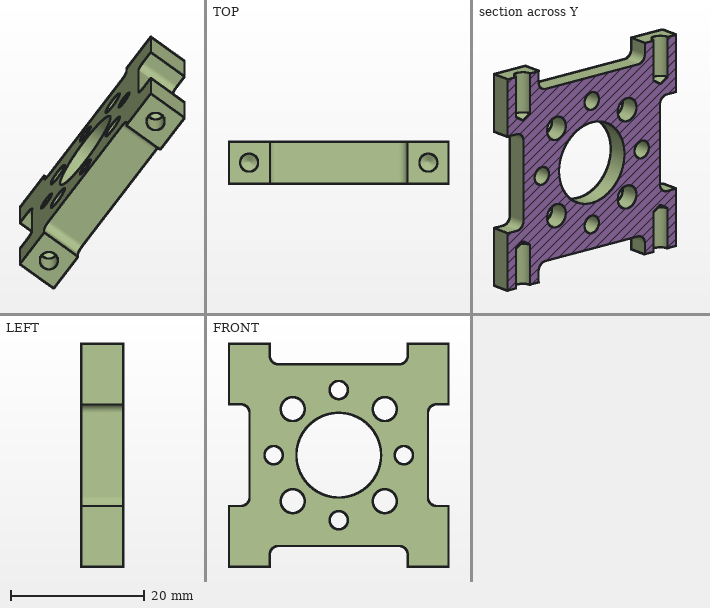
import cadquery as cq
import math

width = 33.02
thickness = 6.35
height = 33.53

recess_depth = 3.1
end_recess_length = 20.7
side_recess_length = 15.24
recess_fillet = 1.27

bore_diameter = 12.7
bolt_circle_radius = 9.78
small_hole_diameter = 2.71
large_hole_diameter = 3.57
holes_per_set = 4

leg_hole_diameter = 2.71
leg_hole_spacing = 26.92
leg_hole_depth = 6.35
drill_point_angle = 118


def make_recess(size_x, size_z, x, z):
    """Round-cornered block centred on a plate edge, so half of it cuts the plate."""
    block = cq.Workplane("XY").box(size_x, thickness, size_z)
    return block.edges("|Y").fillet(recess_fillet).translate((x, 0, z))


def make_plate():
    """Rectangular plate with a filleted recess in each of its four edges."""
    plate = cq.Workplane("XY").box(width, thickness, height)
    for side in (-1, 1):
        end_recess = make_recess(end_recess_length, 2 * recess_depth, 0, side * height / 2)
        side_recess = make_recess(2 * recess_depth, side_recess_length, side * width / 2, 0)
        plate = plate.cut(end_recess).cut(side_recess)
    return plate


def make_through_holes():
    """Central bore ringed by alternating small and large holes."""
    face = cq.Workplane("XZ")
    cutters = face.circle(bore_diameter / 2).extrude(thickness / 2, both=True)
    angle_step = 360 / holes_per_set
    for diameter, start_angle in ((small_hole_diameter, 0), (large_hole_diameter, angle_step / 2)):
        ring = (
            face.polarArray(bolt_circle_radius, start_angle, 360, holes_per_set)
            .circle(diameter / 2)
            .extrude(thickness / 2, both=True)
        )
        cutters = cutters.union(ring)
    return cutters


def make_leg_hole(x, end):
    """Drilled hole with a conical bottom, entering the top (end=1) or bottom (end=-1)."""
    radius = leg_hole_diameter / 2
    point_length = radius / math.tan(math.radians(drill_point_angle / 2))
    mouth_z = end * height / 2
    floor_z = mouth_z - end * leg_hole_depth
    tip_z = floor_z - end * point_length
    return (
        cq.Workplane("XZ")
        .polyline([(0, mouth_z), (radius, mouth_z), (radius, floor_z), (0, tip_z)])
        .close()
        .revolve(360, (0, 0), (0, 1))
        .translate((x, 0, 0))
    )


result = make_plate().cut(make_through_holes())
for leg_end in (-1, 1):
    for leg_side in (-1, 1):
        result = result.cut(make_leg_hole(leg_side * leg_hole_spacing / 2, leg_end))